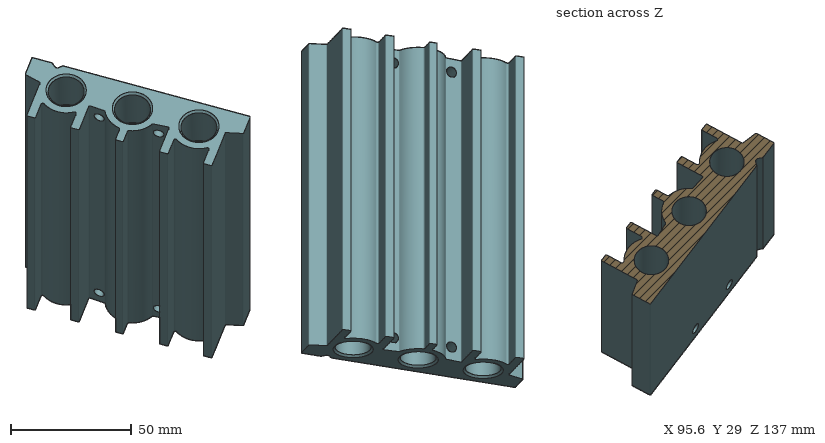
import cadquery as cq
import math

length = 137.0
width = 95.6
depth = 29.0

bore_spacing = 29.0
bore_depth = 11.5
bore_diameter = 14.1
port_diameter = 15.0
port_length = 20.5
port_mouth_diameter = 16.7

boss_radius = 11.5
fin_outer_offset = 11.5
fin_inner_offset = 7.7
stem_width = 3.4
wing_edge_depth = 9.2
wing_root_depth = 11.1
recess_fin_depth = 15.9
recess_boss_depth = 16.5
corner_radius = 0.48
pocket_corner_radius = 0.7
stem_root_radius = 0.8

groove_x = -36.6
groove_half_width = 2.3
groove_bottom_diameter = 2.5

hole_diameter = 4.5
hole_x = 13.0
hole_end_distance = 6.0


def boss_half_width(y):
    """Half width of a boss circle at the given y."""
    return math.sqrt(boss_radius**2 - (y + bore_depth)**2)


def boss_bottom(offset):
    """y of the lower side of a boss circle at an offset from its axis."""
    return -bore_depth - math.sqrt(boss_radius**2 - offset**2)


half_width = width / 2
half_stem = stem_width / 2
outer_fin_wall = bore_spacing + fin_outer_offset
outer_fin_inside = bore_spacing + fin_inner_offset
inner_fin_inside = bore_spacing - fin_inner_offset
inner_fin_wall = bore_spacing - fin_outer_offset
pocket_corner_y = boss_bottom(fin_inner_offset)
recess_boss_x = boss_half_width(-recess_boss_depth)
stem_root_y = boss_bottom(half_stem)
mid_arc_x = (recess_boss_x + half_stem) / 2


def fillet_at(body, points, radius):
    """Round the lengthwise edges nearest the given profile points."""
    picked = body.edges(cq.selectors.NearestToPointSelector((*points[0], 0)))
    for point in points[1:]:
        picked = picked.add(body.edges(cq.selectors.NearestToPointSelector((*point, 0))))
    return picked.fillet(radius)


def both_sides(points):
    return points + [(-x, y) for x, y in points]


def make_profile():
    body = (
        cq.Workplane("XY")
        .workplane(offset=-length / 2)
        .moveTo(0, 0)
        .lineTo(half_width, 0)
        .lineTo(half_width, -wing_edge_depth)
        .lineTo(outer_fin_wall, -wing_root_depth)
        .lineTo(outer_fin_wall, -depth)
        .lineTo(outer_fin_inside, -depth)
        .lineTo(outer_fin_inside, pocket_corner_y)
        .threePointArc((bore_spacing, -bore_depth - boss_radius), (inner_fin_inside, pocket_corner_y))
        .lineTo(inner_fin_inside, -depth)
        .lineTo(inner_fin_wall, -depth)
        .lineTo(inner_fin_wall, -recess_fin_depth)
        .lineTo(recess_boss_x, -recess_boss_depth)
        .threePointArc((mid_arc_x, boss_bottom(mid_arc_x)), (half_stem, stem_root_y))
        .lineTo(half_stem, -depth)
        .lineTo(0, -depth)
        .mirrorY()
        .extrude(length)
    )
    pocket_corners = [(outer_fin_inside, pocket_corner_y), (inner_fin_inside, pocket_corner_y)]
    body = fillet_at(body, both_sides(pocket_corners), pocket_corner_radius)
    body = fillet_at(body, both_sides([(half_stem, stem_root_y)]), stem_root_radius)
    wing_and_recess_corners = [
        (half_width, 0),
        (half_width, -wing_edge_depth),
        (outer_fin_wall, -wing_root_depth),
        (inner_fin_wall, -recess_fin_depth),
        (recess_boss_x, -recess_boss_depth),
    ]
    fin_walls = [outer_fin_wall, outer_fin_inside, inner_fin_inside, inner_fin_wall, half_stem]
    fin_tips = [(x, -depth) for x in fin_walls]
    return fillet_at(body, both_sides(wing_and_recess_corners + fin_tips), corner_radius)


def make_bore(x):
    """Through bore with a wider, chamfered port at each end."""
    mouth_chamfer = (port_mouth_diameter - port_diameter) / 2
    axis = cq.Workplane("XY").center(x, -bore_depth)
    cutter = axis.circle(bore_diameter / 2).extrude(length / 2, both=True)
    for end in (1, -1):
        mouth = axis.workplane(offset=end * length / 2)
        cutter = cutter.union(mouth.circle(port_diameter / 2).extrude(-end * port_length))
        cone = mouth.circle(port_mouth_diameter / 2).workplane(offset=-end * mouth_chamfer)
        cutter = cutter.union(cone.circle(port_diameter / 2).loft())
    return cutter


def make_groove():
    """V groove along Z whose bottom is an arc tangent to both sides."""
    bottom_radius = groove_bottom_diameter / 2
    arc_center_y = -groove_half_width + bottom_radius * math.sqrt(2)
    tangent_x = bottom_radius / math.sqrt(2)
    tangent_y = tangent_x - groove_half_width
    return (
        cq.Workplane("XY")
        .center(groove_x, 0)
        .moveTo(-groove_half_width, 0)
        .lineTo(-tangent_x, tangent_y)
        .threePointArc((0, arc_center_y - bottom_radius), (tangent_x, tangent_y))
        .lineTo(groove_half_width, 0)
        .close()
        .extrude(length / 2, both=True)
    )


def make_mounting_holes():
    return (
        cq.Workplane("XZ")
        .rect(2 * hole_x, length - 2 * hole_end_distance, forConstruction=True)
        .vertices()
        .circle(hole_diameter / 2)
        .extrude(depth)
    )


result = make_profile()
for bore_x in (-bore_spacing, 0, bore_spacing):
    result = result.cut(make_bore(bore_x))
result = result.cut(make_groove()).cut(make_mounting_holes())